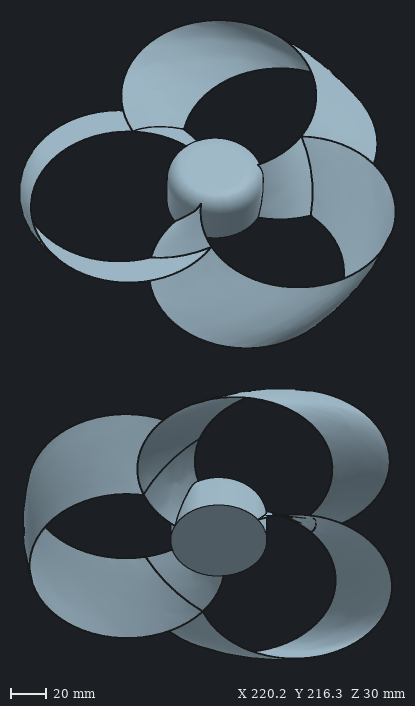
import cadquery as cq
import math

HUB_RADIUS = 27.5
HUB_HEIGHT = 30.0
HUB_ROUNDING = 10.5

BLADE_COUNT = 3
BLADE_HEIGHT = 26.5
WALL = 0.5
TWIST = 39.2
BLADE_PITCH = 360 / BLADE_COUNT

SPAN_X = 220.2
SECOND_BLADE_TOP_ANGLE = math.radians(BLADE_PITCH + TWIST)
RING_RADIUS = SPAN_X / (3 - math.cos(SECOND_BLADE_TOP_ANGLE))


def twisted_disc(radius):
    """Disc around the first ring centre, extruded upward while it turns about the hub axis."""
    return (
        cq.Workplane("XY")
        .pushPoints([(RING_RADIUS, 0)])
        .circle(radius)
        .twistExtrude(BLADE_HEIGHT, TWIST)
    )


def turned(body, steps):
    """Body turned about the hub axis by a number of blade pitches."""
    return body.rotate((0, 0, 0), (0, 0, 1), steps * BLADE_PITCH)


def make_blade(hub):
    """Twisted ring wall that stops at the hub and at the outside of the next blade."""
    outside = twisted_disc(RING_RADIUS)
    ring = outside.cut(twisted_disc(RING_RADIUS - WALL))
    return ring.cut(hub).cut(turned(outside, 1))


def make_hub():
    """Solid hub with its top edge rounded over."""
    hub = cq.Workplane("XY").circle(HUB_RADIUS).extrude(HUB_HEIGHT)
    return hub.faces(">Z").edges().fillet(HUB_ROUNDING)


def make_rotor(hub):
    """All blades joined into one body around the hub."""
    blade = make_blade(hub)
    rotor = blade
    for index in range(1, BLADE_COUNT):
        rotor = rotor.union(turned(blade, index))
    return rotor


hub = make_hub()
rotor = make_rotor(hub)

result = cq.Compound.makeCompound([hub.val(), rotor.val()])